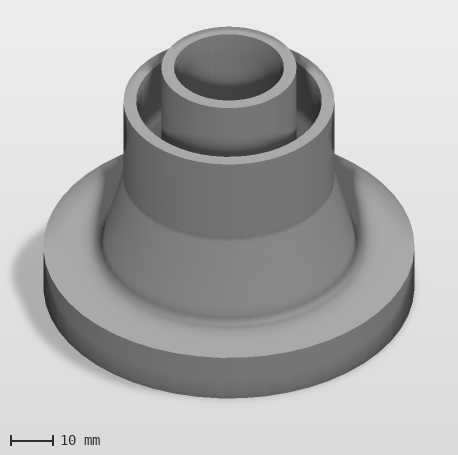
import cadquery as cq

flange_radius = 43.9
flange_height = 12.0
total_height = 65.0

tube_radius = 16.0
bore_radius = 13.0

sleeve_radius = 25.0
sleeve_top = 55.1
gap_radius = 22.0
gap_floor = 40.0
gap_fillet = 2.0

neck_base_radius = 30.1
neck_base_z = 13.5
neck_top_z = 32.9
foot_fillet = 2.0
shoulder_fillet = 2.0

selection_tolerance = 0.01

neck_slope = (neck_base_radius - sleeve_radius) / (neck_top_z - neck_base_z)
neck_foot_radius = neck_base_radius + neck_slope * (neck_base_z - flange_height)


def ring_edge(radius, z):
    """Select the circular edges of the given radius at height z."""
    margin = selection_tolerance
    return cq.selectors.BoxSelector(
        (-radius - margin, -radius - margin, z - margin),
        (radius + margin, radius + margin, z + margin),
        boundingbox=True,
    )


def body():
    """Flange, neck and sleeve as one revolved solid."""
    outline = (
        cq.Workplane("XZ")
        .polyline([
            (0, 0),
            (flange_radius, 0),
            (flange_radius, flange_height),
            (neck_foot_radius, flange_height),
            (sleeve_radius, neck_top_z),
            (sleeve_radius, sleeve_top),
            (0, sleeve_top),
        ])
        .close()
    )
    solid = outline.revolve(360, (0, 0, 0), (0, 1, 0))
    solid = solid.edges(ring_edge(neck_foot_radius, flange_height)).fillet(foot_fillet)
    return solid.edges(ring_edge(sleeve_radius, neck_top_z)).fillet(shoulder_fillet)


def annular_gap():
    """Ring-shaped pocket between tube and sleeve, with a rounded floor."""
    ring = (
        cq.Workplane("XY", origin=(0, 0, gap_floor))
        .circle(gap_radius)
        .circle(tube_radius)
        .extrude(total_height - gap_floor)
    )
    return ring.faces("<Z").edges().fillet(gap_fillet)


tube = cq.Workplane("XY").circle(tube_radius).extrude(total_height)
bore = cq.Workplane("XY").circle(bore_radius).extrude(total_height)

result = body().union(tube).cut(annular_gap()).cut(bore)